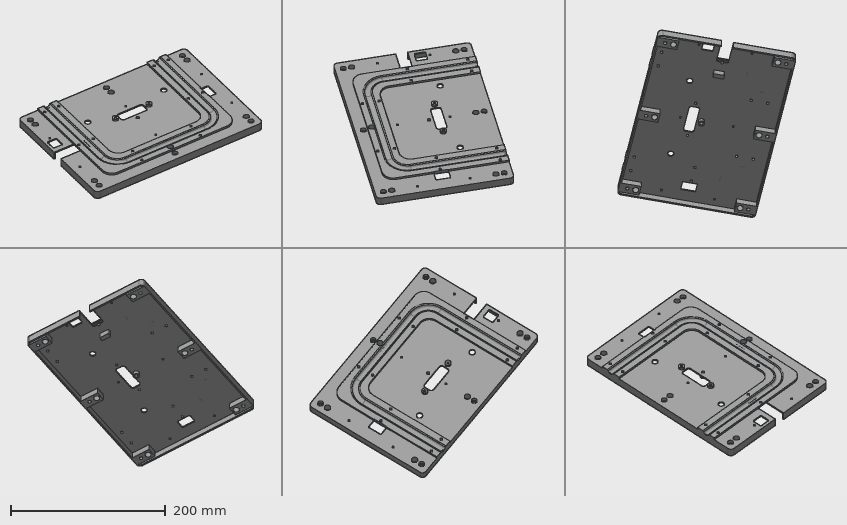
import cadquery as cq
import math

LENGTH_X = 182.0
LENGTH_Y = 259.0
PLATE_TOP = 11.5
SKIN = 2.0
WALL = 2.0
CORNER_RADIUS = 5.5
CAVITY_TOP = PLATE_TOP - SKIN
LEFT = -LENGTH_X / 2
RIGHT = LENGTH_X / 2
FRONT = -LENGTH_Y / 2

RAIL_HEIGHT = 3.0
RAIL_TOP = PLATE_TOP + RAIL_HEIGHT
RAIL_INNER_HALF = 15.0
RAIL_OUTER_HALF = 14.5
RAIL_MID_X = 60.0
RAIL_MID_Y = 85.0
RAIL_CORNER_RADIUS = 15.0
CHANNEL_RADIUS = 4.2
CHANNEL_BEND_RADIUS = 24.5
CHANNEL_LIP_HALF_WIDTH = 6.0
CHANNEL_LIP_DEPTH = 0.6
RAIL_HOLE_DIAMETER = 3.2
RAIL_HOLE_OFFSET = 11.0
RAIL_SIDE_HOLE_XS = (-80.0, 0.0)
RAIL_END_HOLE_Y = 45.4

SCREW_X = 80.0
DOWEL_X = 69.0
MOUNT_Y = 118.0
MOUNT_ROWS = (-MOUNT_Y, 0.0, MOUNT_Y)
DOWEL_DIAMETER = 8.0
SCREW_DIAMETER = 4.3
SCREW_HEAD_DIAMETER = 7.5
SCREW_HEAD_DEPTH = 5.0
PAD_INNER_X = 63.0
PAD_WIDTH = 14.0

PILOT_DIAMETER = 2.5
PILOT_X = 35.0
ACCESS_DIAMETER = 8.0
ACCESS_X = -35.0
ACCESS_Y = 59.0

SLOT_X = -20.0
SLOT_WIDTH = 14.0
SLOT_LENGTH = 40.0
SLOT_CORNER_RADIUS = 3.5
STUD_Y = 26.0
STUD_DIAMETER = 8.0
STUD_HOLE_DIAMETER = 3.0
TUBE_X = -7.0
TUBE_DIAMETER = 8.0
TUBE_HOLE_DIAMETER = 4.0
TUBE_BOTTOM = 4.0

BACK_WINDOW_CENTRE = (-1.0, 105.3)
BACK_WINDOW_SIZE = (19.6, 12.6)
FRONT_WINDOW_CENTRE = (-22.9, -118.0)
FRONT_WINDOW_SIZE = (15.0, 14.0)
WINDOW_CORNER_RADIUS = 1.2
NOTCH_WIDTH = 15.8
NOTCH_END_Y = -97.0
NOTCH_CORNER_RADIUS = 2.5

BLOCK_CENTRE = (-1.0, -80.0)
BLOCK_SIZE = (14.0, 6.0)
BLOCK_BOTTOM = 1.0
BLOCK_EDGE_RADIUS = 1.0


def rounded_block(centre, size, bottom, top, radius):
    """Box on a centre point with rounded vertical edges."""
    block = cq.Workplane("XY").workplane(offset=bottom).center(*centre).rect(*size).extrude(top - bottom)
    return block.edges("|Z").fillet(radius)


def cylinders(points, diameter, bottom, top):
    """Upright cylinders at the given points."""
    circles = cq.Workplane("XY").workplane(offset=bottom).pushPoints(points).circle(diameter / 2)
    return circles.extrude(top - bottom)


def holes(points, diameter):
    """Cutters that pass through the whole part."""
    return cylinders(points, diameter, 0, RAIL_TOP)


def left_open_slab(reach_x, half_width):
    """Slab as high as the rail, from the left edge of the plate, with its right corners rounded."""
    slab = (
        cq.Workplane("XY")
        .workplane(offset=PLATE_TOP)
        .moveTo(LEFT, -half_width)
        .lineTo(reach_x, -half_width)
        .lineTo(reach_x, half_width)
        .lineTo(LEFT, half_width)
        .close()
        .extrude(RAIL_HEIGHT)
    )
    return slab.edges("|Z and >X").fillet(RAIL_CORNER_RADIUS)


def make_shell():
    """Plate with its cavity and the solid pads around the mounting points."""
    shell = rounded_block((0, 0), (LENGTH_X, LENGTH_Y), 0, PLATE_TOP, CORNER_RADIUS)
    cavity_size = (LENGTH_X - 2 * WALL, LENGTH_Y - 2 * WALL)
    cavity = rounded_block((0, 0), cavity_size, 0, CAVITY_TOP, CORNER_RADIUS - WALL)
    pad_length = RIGHT - WALL / 2 - PAD_INNER_X
    pad_x = PAD_INNER_X + pad_length / 2
    pad_points = [(side * pad_x, y) for side in (-1, 1) for y in MOUNT_ROWS]
    pads = cq.Workplane("XY").pushPoints(pad_points).rect(pad_length, PAD_WIDTH).extrude(PLATE_TOP)
    return shell.cut(cavity).union(pads)


def make_rail():
    """Raised U-shaped band on the plate."""
    outer = left_open_slab(RAIL_MID_X + RAIL_OUTER_HALF, RAIL_MID_Y + RAIL_OUTER_HALF)
    inner = left_open_slab(RAIL_MID_X - RAIL_INNER_HALF, RAIL_MID_Y - RAIL_INNER_HALF)
    return outer.cut(inner)


def make_channel():
    """Cutter for the round channel and its sloping lips, swept along the rail."""
    bend_x = RAIL_MID_X - CHANNEL_BEND_RADIUS
    bend_y = RAIL_MID_Y - CHANNEL_BEND_RADIUS
    bend_reach = CHANNEL_BEND_RADIUS * math.sqrt(0.5)
    path = (
        cq.Workplane("XY")
        .workplane(offset=RAIL_TOP)
        .moveTo(LEFT, -RAIL_MID_Y)
        .lineTo(bend_x, -RAIL_MID_Y)
        .threePointArc((bend_x + bend_reach, -bend_y - bend_reach), (RAIL_MID_X, -bend_y))
        .lineTo(RAIL_MID_X, bend_y)
        .threePointArc((bend_x + bend_reach, bend_y + bend_reach), (bend_x, RAIL_MID_Y))
        .lineTo(LEFT, RAIL_MID_Y)
    )
    meet_offset = math.sqrt(CHANNEL_RADIUS**2 - CHANNEL_LIP_DEPTH**2)
    profile = (
        cq.Workplane("YZ", origin=(LEFT, -RAIL_MID_Y, RAIL_TOP))
        .moveTo(-CHANNEL_LIP_HALF_WIDTH, 0)
        .lineTo(-meet_offset, -CHANNEL_LIP_DEPTH)
        .threePointArc((0, -CHANNEL_RADIUS), (meet_offset, -CHANNEL_LIP_DEPTH))
        .lineTo(CHANNEL_LIP_HALF_WIDTH, 0)
        .close()
    )
    return profile.sweep(path)


def rail_hole_points():
    """Pairs of holes on both sides of the channel."""
    points = []
    for side in (-RAIL_HOLE_OFFSET, RAIL_HOLE_OFFSET):
        for sign in (-1, 1):
            points += [(x, sign * (RAIL_MID_Y + side)) for x in RAIL_SIDE_HOLE_XS]
            points.append((RAIL_MID_X + side, sign * RAIL_END_HOLE_Y))
    return points


def cut_mounting_holes(body):
    """Counterbored screw holes and plain holes along both short sides and the middle."""
    screw_points = [(side * SCREW_X, y) for side in (-1, 1) for y in MOUNT_ROWS]
    dowel_points = [(side * DOWEL_X, y) for side in (-1, 1) for y in MOUNT_ROWS]
    heads = cylinders(screw_points, SCREW_HEAD_DIAMETER, PLATE_TOP - SCREW_HEAD_DEPTH, PLATE_TOP)
    body = body.cut(holes(screw_points, SCREW_DIAMETER)).cut(heads)
    return body.cut(holes(dowel_points, DOWEL_DIAMETER))


def cut_skin_holes(body):
    """Pilot, access and rail holes."""
    pilot_points = [(side * PILOT_X, y) for side in (-1, 1) for y in MOUNT_ROWS]
    access_points = [(ACCESS_X, -ACCESS_Y), (ACCESS_X, ACCESS_Y)]
    body = body.cut(holes(pilot_points, PILOT_DIAMETER))
    body = body.cut(holes(access_points, ACCESS_DIAMETER))
    return body.cut(holes(rail_hole_points(), RAIL_HOLE_DIAMETER))


def add_slot_and_studs(body):
    """Central slot, the two studs at its ends and the tube under the skin beside it."""
    stud_points = [(SLOT_X, -STUD_Y), (SLOT_X, STUD_Y)]
    tube_points = [(TUBE_X, 0)]
    body = body.union(cylinders(stud_points, STUD_DIAMETER, CAVITY_TOP, RAIL_TOP))
    body = body.cut(rounded_block((SLOT_X, 0), (SLOT_WIDTH, SLOT_LENGTH), 0, PLATE_TOP, SLOT_CORNER_RADIUS))
    body = body.union(cylinders(tube_points, TUBE_DIAMETER, TUBE_BOTTOM, CAVITY_TOP))
    body = body.cut(holes(stud_points, STUD_HOLE_DIAMETER))
    return body.cut(holes(tube_points, TUBE_HOLE_DIAMETER))


def cut_windows(body):
    """Rectangular windows through the skin and the rail edge."""
    for centre, size in (
        (BACK_WINDOW_CENTRE, BACK_WINDOW_SIZE),
        (FRONT_WINDOW_CENTRE, FRONT_WINDOW_SIZE),
    ):
        body = body.cut(rounded_block(centre, size, 0, RAIL_TOP, WINDOW_CORNER_RADIUS))
    return body


def cut_notch(body):
    """Notch in the front edge; its rounded end reaches under the rail."""
    length = NOTCH_END_Y - FRONT
    notch = (
        cq.Workplane("XY")
        .center(0, FRONT + length / 2)
        .rect(NOTCH_WIDTH, length)
        .extrude(PLATE_TOP)
        .edges("|Z and >Y")
        .fillet(NOTCH_CORNER_RADIUS)
    )
    return body.cut(notch)


def add_block(body):
    """Rounded block hanging from the skin behind the notch."""
    return body.union(rounded_block(BLOCK_CENTRE, BLOCK_SIZE, BLOCK_BOTTOM, CAVITY_TOP, BLOCK_EDGE_RADIUS))


result = make_shell().union(make_rail()).cut(make_channel())
result = cut_mounting_holes(result)
result = cut_skin_holes(result)
result = add_slot_and_studs(result)
result = cut_windows(result)
result = cut_notch(result)
result = add_block(result)